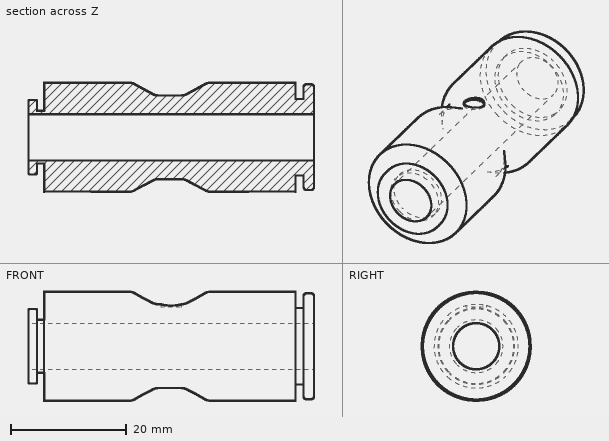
import cadquery as cq

total_length = 49.65
bore_radius = 4.0

body_radius = 9.5
body_start = 2.75
body_end = 46.45
body_middle = (body_start + body_end) / 2
waist_radius = 7.3
waist_length = 5.05
cone_length = 4.0
waist_blend = 1.5

small_flange_radius = 6.5
small_flange_width = 1.55
small_flange_rounding = 0.3
small_sleeve_radius = 4.6
large_flange_radius = 9.25
large_flange_width = 1.9
large_flange_rounding = 0.6
large_sleeve_radius = 6.65

recess_center = total_length / 2
recess_radius = 1.8
recess_depth = 0.45


def cylinder(start, end, radius):
    """Solid cylinder along X between two positions."""
    return cq.Workplane("YZ", origin=(start, 0, 0)).circle(radius).extrude(end - start)


def make_body():
    """Waisted body with its cone corners blended."""
    waist_start = body_middle - waist_length / 2
    waist_end = body_middle + waist_length / 2
    profile = [
        (body_start, 0),
        (body_start, body_radius),
        (waist_start - cone_length, body_radius),
        (waist_start, waist_radius),
        (waist_end, waist_radius),
        (waist_end + cone_length, body_radius),
        (body_end, body_radius),
        (body_end, 0),
    ]
    body = cq.Workplane("XY").polyline(profile).close().revolve(360, (0, 0, 0), (1, 0, 0))
    half_zone = (waist_length + 2 * cone_length) / 2 + waist_blend
    corner_zone = cq.selectors.BoxSelector(
        (body_middle - half_zone, -body_radius, -body_radius),
        (body_middle + half_zone, body_radius, body_radius),
    )
    return body.edges("%CIRCLE").edges(corner_zone).fillet(waist_blend)


def make_flange(start, width, radius, rounding):
    """Collar flange with both rims rounded."""
    return cylinder(start, start + width, radius).edges("%CIRCLE").fillet(rounding)


small_flange = make_flange(0, small_flange_width, small_flange_radius, small_flange_rounding)
large_flange = make_flange(
    total_length - large_flange_width, large_flange_width, large_flange_radius, large_flange_rounding
)
small_sleeve = cylinder(small_flange_width / 2, body_middle, small_sleeve_radius)
large_sleeve = cylinder(body_middle, total_length - large_flange_width / 2, large_sleeve_radius)
bore = cylinder(0, total_length, bore_radius)
marking_recess = (
    cq.Workplane("XY", origin=(recess_center, 0, waist_radius - recess_depth))
    .circle(recess_radius)
    .extrude(body_radius)
)

result = (
    make_body()
    .union(small_sleeve)
    .union(large_sleeve)
    .union(small_flange)
    .union(large_flange)
    .cut(bore)
    .cut(marking_recess)
)